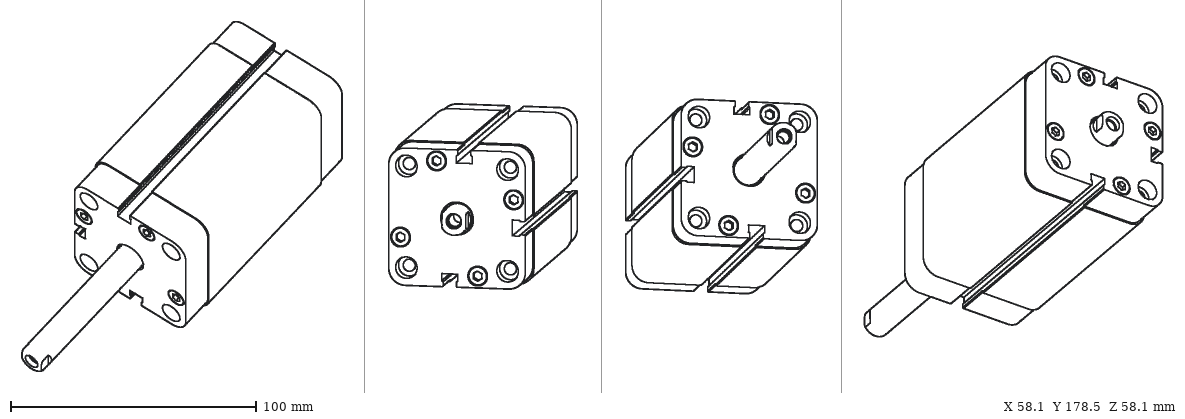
import cadquery as cq
import math

cap_side = 57.0
barrel_step = 0.57
barrel_side = cap_side + 2 * barrel_step
corner_radius = 7.0
barrel_length = 75.9
cap_length = 14.8
housing_length = barrel_length + 2 * cap_length
half_length = housing_length / 2

slot_offset = 3.0
slot_mouth_width = 5.5
slot_mouth_chamfer = 0.4
slot_floor_width = 6.6
slot_floor_height = 23.0
slot_lip_height = 26.5
slot_lip_slope = 0.5

mount_offset = 21.0
mount_diameter = 5.0
mount_bore_diameter = 9
mount_bore_depth = 5.7

screw_across = 8.5
screw_along = 23.5
screw_seat_diameter = 8.0
screw_head_diameter = 7.5
screw_gap_depth = 0.9
socket_corner_diameter = 4.1
socket_depth = 2.1

total_length = 178.5
rod_diameter = 12.0
rear_rod_reach = 6.6
front_rod_reach = total_length - housing_length - rear_rod_reach
rod_tip_fillet = 1.2
rod_gap_diameter = 13.5
rod_gap_depth = 1.8
flat_width = 10.0
flat_length = 4.6
flat_runout = (rod_diameter - flat_width) / 2
thread_diameter = 5.0
thread_relief_diameter = 6.2
thread_relief_depth = 2.3
thread_depth = 12.0
drill_tip_angle = 118


def cylinder(diameter, start, end, x=0, z=0):
    """Cylinder along Y between two Y positions."""
    base = cq.Workplane("XZ", origin=(x, start, z)).circle(diameter / 2)
    return base.extrude(start - end)


def both_ends(front):
    """Add the mirror image of a front-end shape at the rear end."""
    return front.union(front.mirror("XZ"))


def sensor_slot(side, length):
    """Cutter for the slot in the top side of a block, with chamfered mouth edges."""
    top = side / 2
    half_mouth = slot_mouth_width / 2
    half_floor = slot_floor_width / 2
    right_side = [
        (half_mouth + slot_mouth_chamfer, top),
        (half_mouth, top - slot_mouth_chamfer),
        (half_mouth, slot_lip_height),
        (half_floor, slot_lip_height - slot_lip_slope),
        (half_floor, slot_floor_height),
    ]
    left_side = [(-x, z) for x, z in reversed(right_side)]
    profile = cq.Workplane("XZ", origin=(-slot_offset, 0, 0)).polyline(right_side + left_side).close()
    return profile.extrude(length / 2, both=True)


def slotted_block(side, length):
    """Square block with rounded long edges and slots in its left, top and bottom sides."""
    block = cq.Workplane("XY").box(side, length, side).edges("|Y").fillet(corner_radius)
    slot = sensor_slot(side, length)
    for angle in (0, -90, 180):
        block = block.cut(slot.rotate((0, 0, 0), (0, 1, 0), angle))
    return block


def end_cap():
    """Front end cap."""
    return slotted_block(cap_side, cap_length).translate((0, (cap_length - housing_length) / 2, 0))


def mounting_hole(x, z):
    """Cutter for a through hole, counterbored at both ends."""
    through = cylinder(mount_diameter, -half_length, half_length, x, z)
    bore = cylinder(mount_bore_diameter, -half_length, -half_length + mount_bore_depth, x, z)
    return through.union(both_ends(bore))


def screw_recess(x, z):
    """Cutter for the gap around one front screw head and its hexagon socket."""
    face = cq.Workplane("XZ", origin=(x, -half_length, z))
    gap = face.circle(screw_seat_diameter / 2).circle(screw_head_diameter / 2).extrude(-screw_gap_depth)
    socket = face.transformed(rotate=(0, 0, 90)).polygon(6, socket_corner_diameter).extrude(-socket_depth)
    return gap.union(socket)


def rod_end_cutter(tip, direction):
    """Cutter for the wrench flats and threaded hole; direction points out of the rod end."""
    radius = rod_diameter / 2
    flat_end = tip - direction * flat_length
    flat = (
        cq.Workplane("XY")
        .polyline([
            (flat_width / 2, tip),
            (flat_width / 2, flat_end),
            (radius, flat_end - direction * flat_runout),
            (radius, tip),
        ])
        .close()
        .extrude(radius, both=True)
    )
    hole_radius = thread_diameter / 2
    relief_radius = thread_relief_diameter / 2
    relief_end = tip - direction * thread_relief_depth
    hole_end = tip - direction * thread_depth
    tip_length = hole_radius / math.tan(math.radians(drill_tip_angle / 2))
    hole = (
        cq.Workplane("XY")
        .polyline([
            (0, tip),
            (relief_radius, tip),
            (relief_radius, relief_end),
            (hole_radius, relief_end),
            (hole_radius, hole_end),
            (0, hole_end - direction * tip_length),
        ])
        .close()
        .revolve(360, (0, 0, 0), (0, 1, 0))
    )
    return flat.union(flat.mirror("YZ")).union(hole)


housing = slotted_block(barrel_side, barrel_length).union(both_ends(end_cap()))

for x in (-mount_offset, mount_offset):
    for z in (-mount_offset, mount_offset):
        housing = housing.cut(mounting_hole(x, z))

screw_places = [
    (screw_across, screw_along),
    (screw_along, -screw_across),
    (-screw_across, -screw_along),
    (-screw_along, screw_across),
]
for x, z in screw_places:
    housing = housing.cut(both_ends(screw_recess(x, z)))

rod_gap = cylinder(rod_gap_diameter, -half_length, -half_length + rod_gap_depth)
housing = housing.cut(both_ends(rod_gap))

front_tip = -half_length - front_rod_reach
rear_tip = half_length + rear_rod_reach
rod = cylinder(rod_diameter, front_tip, rear_tip).faces("<Y or >Y").edges().fillet(rod_tip_fillet)

result = (
    housing.union(rod)
    .cut(rod_end_cutter(front_tip, -1))
    .cut(rod_end_cutter(rear_tip, 1))
)